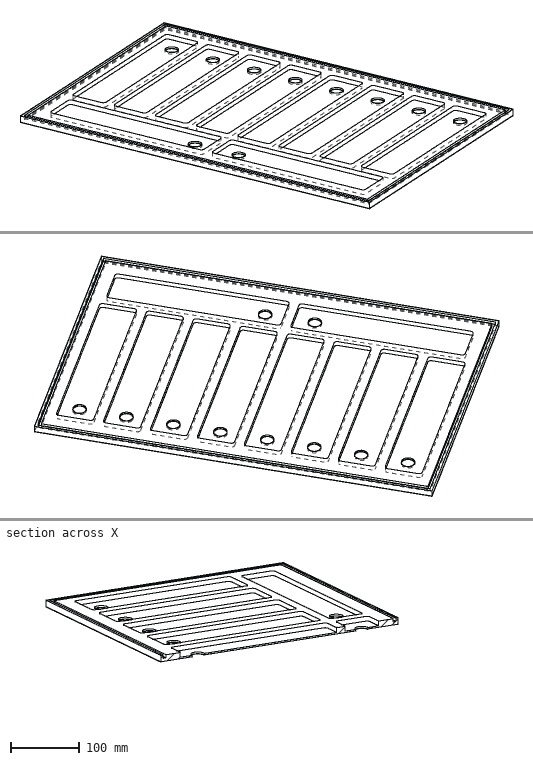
import cadquery as cq

plate_length = 600.0
plate_width = 400.0
plate_thickness = 10.0

groove_offset = 4.0
groove_width = 4.0
groove_depth = 5.0

upright_count = 8
lying_count = 2
pocket_long = 263.0
pocket_short = 56.0
pocket_gap = 15.0
pocket_depth = 7.0
pocket_corner_radius = 5.0

hole_diameter = 20.0
hole_to_pocket_end = 30.0

block_top = (pocket_long + pocket_gap + pocket_short) / 2
upright_y = block_top - pocket_long / 2
lying_y = pocket_short / 2 - block_top
hole_shift = pocket_long / 2 - hole_to_pocket_end


def row_centers(count, size, y):
    """Centers of a row of pockets spaced by the common gap about X = 0."""
    pitch = size + pocket_gap
    return [((i - (count - 1) / 2) * pitch, y) for i in range(count)]


def pocket_cutter(centers, size_x, size_y):
    """Rounded pockets sunk from the top face."""
    return (
        cq.Workplane("XY", origin=(0, 0, plate_thickness - pocket_depth))
        .pushPoints(centers)
        .rect(size_x, size_y)
        .extrude(pocket_depth)
        .edges("|Z")
        .fillet(pocket_corner_radius)
    )


def groove_cutter():
    """Rectangular ring running parallel to the plate edge."""
    inner_offset = groove_offset + groove_width
    return (
        cq.Workplane("XY", origin=(0, 0, plate_thickness - groove_depth))
        .rect(plate_length - 2 * groove_offset, plate_width - 2 * groove_offset)
        .rect(plate_length - 2 * inner_offset, plate_width - 2 * inner_offset)
        .extrude(groove_depth)
    )


upright_centers = row_centers(upright_count, pocket_short, upright_y)
lying_centers = row_centers(lying_count, pocket_long, lying_y)

hole_centers = [(x, y + hole_shift) for x, y in upright_centers]
for x, y in lying_centers:
    toward_middle = -1 if x > 0 else 1
    hole_centers.append((x + toward_middle * hole_shift, y))

hole_cutter = (
    cq.Workplane("XY")
    .pushPoints(hole_centers)
    .circle(hole_diameter / 2)
    .extrude(plate_thickness)
)

plate = cq.Workplane("XY").box(
    plate_length, plate_width, plate_thickness, centered=(True, True, False)
)
result = (
    plate.cut(groove_cutter())
    .cut(pocket_cutter(upright_centers, pocket_short, pocket_long))
    .cut(pocket_cutter(lying_centers, pocket_long, pocket_short))
    .cut(hole_cutter)
)